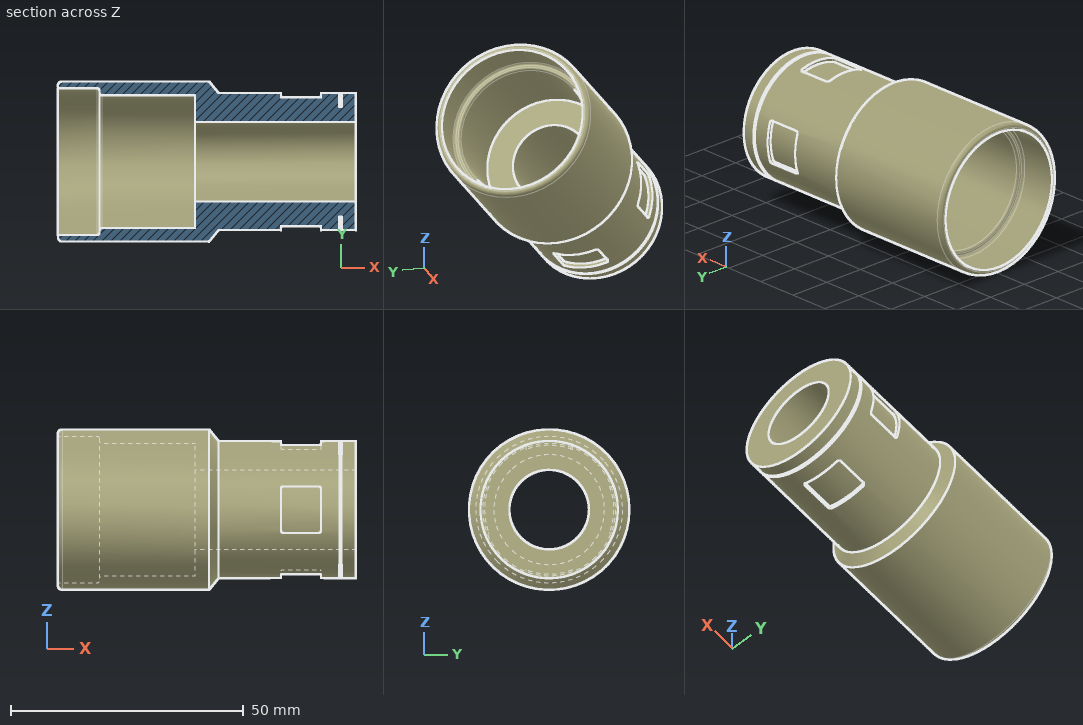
import cadquery as cq

length = 64.0
collar_radius = 34.5 / 2
neck_radius = 29.5 / 2
collar_end = 32.5
neck_start = 34.55
lip_round = 1.0

mouth_radius = 31.5 / 2
step_round = 0.5
socket_radius = 28.5 / 2
mouth_depth = 8.45
socket_depth = 29.45
through_radius = 17.0 / 2

groove_radius = 23.7 / 2
groove_start = 60.5
groove_width = 0.45

window_count = 4
window_start = 47.95
window_length = 8.6
window_width = 10.0
window_depth = 0.9
window_corner = 0.5


def cylinder(radius, start, depth):
    """Cylinder on the X axis running from start in +X."""
    return cq.Workplane("YZ", origin=(start, 0, 0)).circle(radius).extrude(depth)


def make_body():
    """Solid collar with a rounded front lip, a conical shoulder and a neck."""
    profile = (
        cq.Workplane("XY")
        .moveTo(0, 0)
        .lineTo(0, collar_radius - lip_round)
        .radiusArc((lip_round, collar_radius), lip_round)
        .lineTo(collar_end, collar_radius)
        .lineTo(neck_start, neck_radius)
        .lineTo(length, neck_radius)
        .lineTo(length, 0)
        .close()
    )
    return profile.revolve(360, (0, 0, 0), (1, 0, 0))


def make_socket():
    """Socket cavity: a wide mouth, a step with both corners rounded and a narrower bore."""
    step_face = mouth_depth + step_round
    profile = (
        cq.Workplane("XY")
        .moveTo(0, 0)
        .lineTo(0, mouth_radius)
        .lineTo(mouth_depth, mouth_radius)
        .radiusArc((step_face, mouth_radius - step_round), step_round)
        .lineTo(step_face, socket_radius + step_round)
        .radiusArc((step_face + step_round, socket_radius), -step_round)
        .lineTo(socket_depth, socket_radius)
        .lineTo(socket_depth, 0)
        .close()
    )
    return profile.revolve(360, (0, 0, 0), (1, 0, 0))


def make_groove():
    return cylinder(collar_radius, groove_start, groove_width).cut(
        cylinder(groove_radius, groove_start, groove_width)
    )


def make_window():
    """Round-cornered window above the neck axis, with a floor concentric with the neck."""
    block = (
        cq.Workplane("XY")
        .center(window_start + window_length / 2, 0)
        .rect(window_length, window_width)
        .extrude(collar_radius)
        .edges("|Z")
        .fillet(window_corner)
    )
    return block.cut(cylinder(neck_radius - window_depth, 0, length))


result = make_body().cut(make_socket()).cut(cylinder(through_radius, 0, length)).cut(make_groove())

window = make_window()
for index in range(window_count):
    angle = index * 360 / window_count
    result = result.cut(window.rotate((0, 0, 0), (1, 0, 0), angle))